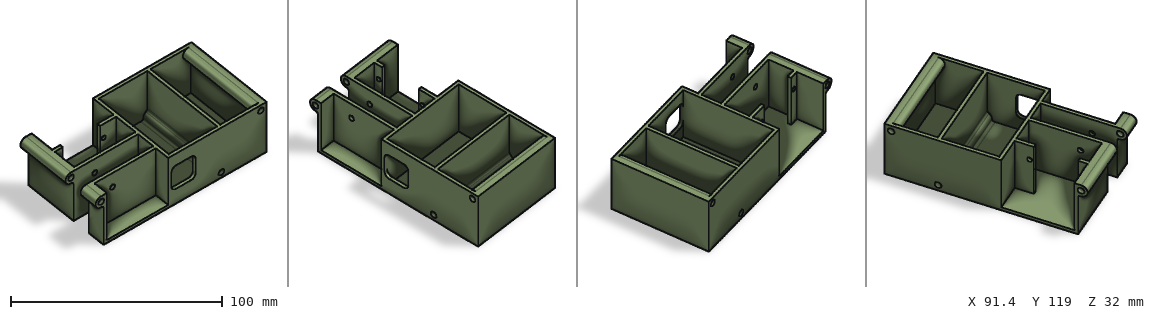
import cadquery as cq
import math


heading = 22.525
width = 55.0
height = 32.0
wall = 2.0
floor = 2.0

bar_radius = 3.5
pin_diameter = 3.5
bar_fillet = 1.5
bar_z = height - bar_radius
end_wall_outer = 101.0
end_wall_inner = end_wall_outer - wall
bar_from_wall = bar_radius - wall
back_bar_along = bar_radius
front_bar_along = end_wall_outer + bar_from_wall

divider_centre = 28.0
divider_front = divider_centre + wall / 2
divider_back = divider_centre - wall / 2
box_length = 61.0
box_inner_front = box_length - wall

sleeve_z = bar_radius
sleeve_top_fillet = 2.0

bay_width = 33.0
bay_wall_inner = bay_width - wall
arm_start = 44.0
arm_wall_inner = arm_start + wall

rib_across = 15.0
rib_span = (rib_across, rib_across + wall)
long_rib_length = 10.0
short_rib_length = 5.0

rib_hole_diameter = 2.5
bay_hole_diameter = 3.0
rib_hole_inset = 2.3
hole_z = 23.0
long_rib_hole_along = box_length + long_rib_length - rib_hole_inset
short_rib_hole_along = end_wall_inner - short_rib_length + rib_hole_inset
bay_wall_hole_along = 87.8

window_size = 15.0
window_end = box_inner_front
window_start = window_end - window_size
window_bottom = 9.5
window_top = window_bottom + window_size
window_radius = 3.0


def block(across, along, z):
    """Box between the (start, end) pairs given for each direction."""
    size = (across[1] - across[0], along[1] - along[0], z[1] - z[0])
    return cq.Workplane("XY").box(*size, centered=False).translate((across[0], -along[1], z[0]))


def rod(across, along, z, diameter):
    """Cylinder running across the part between the (start, end) pair."""
    profile = cq.Workplane("YZ", origin=(across[0], -along, z)).circle(diameter / 2)
    return profile.extrude(across[1] - across[0])


def blend(across, along, z, start, corner, end, centre, radius):
    """Fillet strip between start and end, backed by corner and hollowed by a round at centre.

    The profile points are (forward, up) offsets from the cylinder axis at (along, z).
    """
    def place(point):
        return (-along - point[0], z + point[1])

    outline = [place(point) for point in (start, corner, end, centre)]
    profile = cq.Workplane("YZ", origin=(across[0], 0, 0)).polyline(outline).close()
    wedge = profile.extrude(across[1] - across[0])
    round_cut = rod(across, along + centre[0], z + centre[1], 2 * radius)
    return wedge.cut(round_cut)


def hinge_bar(across, along):
    """Bar flush with the top edge, overhanging forward of its end wall and blended into it."""
    face = -bar_from_wall
    centre_offset = face + bar_fillet
    drop = math.sqrt((bar_radius + bar_fillet) ** 2 - centre_offset ** 2)
    touch = bar_radius / (bar_radius + bar_fillet)
    bar = rod(across, along, bar_z, 2 * bar_radius)
    bar = bar.union(block(across, (along - bar_radius, along), (bar_z, height)))
    strip = blend(
        across, along, bar_z,
        start=(face, -drop),
        corner=(face, 0),
        end=(centre_offset * touch, -drop * touch),
        centre=(centre_offset, -drop),
        radius=bar_fillet,
    )
    return bar.union(strip)


def sleeve(across):
    """Rod sleeve along the divider, blended to the floor and to the divider."""
    body = rod(across, divider_centre, sleeve_z, 2 * bar_radius)
    floor_reach = bar_radius + bar_fillet
    floor_level = floor - sleeve_z
    top_centre = wall / 2 + sleeve_top_fillet
    top_reach = bar_radius + sleeve_top_fillet
    top_rise = math.sqrt(top_reach ** 2 - top_centre ** 2)
    top_touch = bar_radius / top_reach
    for side in (-1, 1):
        floor_strip = blend(
            across, divider_centre, sleeve_z,
            start=(side * bar_radius, 0),
            corner=(0, floor_level),
            end=(side * floor_reach, floor_level),
            centre=(side * floor_reach, 0),
            radius=bar_fillet,
        )
        top_strip = blend(
            across, divider_centre, sleeve_z,
            start=(side * top_centre * top_touch, top_rise * top_touch),
            corner=(side * wall / 2, 0),
            end=(side * wall / 2, top_rise),
            centre=(side * top_centre, top_rise),
            radius=sleeve_top_fillet,
        )
        body = body.union(floor_strip).union(top_strip)
    return body


def back_box():
    inside = (wall, width - wall)
    above_floor = (floor, height)
    box = block((0, width), (0, box_length), (0, height))
    box = box.cut(block(inside, (wall, divider_back), above_floor))
    box = box.cut(block(inside, (divider_front, box_inner_front), above_floor))
    box = box.union(hinge_bar(inside, back_bar_along))
    box = box.union(sleeve(inside))
    return box.cut(window())


def window():
    opening = block(
        (width - wall, width), (window_start, window_end), (window_bottom, window_top)
    )
    return opening.edges("|X").fillet(window_radius)


def tray(across, cavity):
    """Tray in front of the box: floor, side wall beside the cavity and barred end wall.

    across is the full extent of the tray and cavity that of its hollow.
    """
    body = block(across, (box_inner_front, end_wall_outer), (0, height))
    body = body.cut(block(cavity, (box_length, end_wall_inner), (floor, height)))
    return body.union(hinge_bar(across, front_bar_along))


def ribs():
    z = (0, height)
    long_rib = block(rib_span, (box_inner_front, box_length + long_rib_length), z)
    short_rib = block(rib_span, (end_wall_inner - short_rib_length, end_wall_outer), z)
    return long_rib.union(short_rib)


def pin_holes():
    full = (0, width)
    back = rod(full, back_bar_along, bar_z, pin_diameter)
    front = rod(full, front_bar_along, bar_z, pin_diameter)
    low = rod(full, divider_centre, sleeve_z, pin_diameter)
    return back.union(front).union(low)


def cross_holes():
    side_walls = (bay_wall_inner, arm_wall_inner)
    holes = rod(side_walls, bay_wall_hole_along, hole_z, bay_hole_diameter)
    for along in (long_rib_hole_along, short_rib_hole_along):
        holes = holes.union(rod(rib_span, along, hole_z, rib_hole_diameter))
    return holes


bay = tray((0, bay_width), (0, bay_wall_inner))
arm = tray((arm_start, width), (arm_wall_inner, width))
part = back_box().union(bay).union(arm).union(ribs())
part = part.cut(pin_holes()).cut(cross_holes())
result = part.rotate((0, 0, 0), (0, 0, 1), heading)